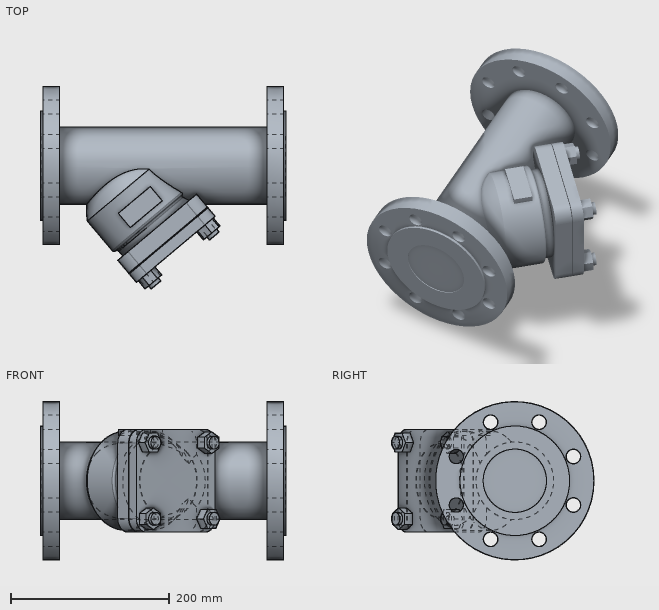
import cadquery as cq
import math

length = 310.0
pipe_radius = 49.0
flange_diameter = 200.0
flange_thickness = 21.0
raised_face_radius = 69.0
raised_face_height = 3.0
port_radius = 40.0
port_depth = 1.0
flange_hole_count = 8
flange_hole_diameter = 18.0
bolt_circle_radius = 80.0

branch_lean = 40.0
branch_offset = 55.8
body_radius = 62.5
dome_edge = -8.0
shoulder = 43.7
plate_start = 54.5
gasket_start = 76.0
cover_start = 77.0
cover_end = 91.0
dome_radius = 72.0
neck_radius = 56.7
gasket_radius = 47.0

plate_side = 130.0
plate_corner_radius = 17.0
bolt_spacing = 96.0
nut_width = 24.0
nut_height = 13.3
stud_diameter = 16.0
stud_tip = 5.0

pad_length = 52.7
pad_width = 23.5
pad_centre = 21.5
pad_top = 64.8

lean = math.radians(branch_lean)
across = cq.Vector(math.cos(lean), math.sin(lean), 0)
outward = cq.Vector(math.sin(lean), -math.cos(lean), 0)
branch_frame = cq.Plane(origin=across * -branch_offset, xDir=across, normal=outward)


def branch_plane(position):
    """Workplane square to the branch axis at a position along it."""
    return cq.Workplane(branch_frame).workplane(offset=position)


def make_run_pipe():
    return cq.Workplane("YZ").circle(pipe_radius).extrude(length / 2, both=True)


def make_flange():
    """Flange disc and raised face at the -X end."""
    flange_back = -length / 2 + raised_face_height + flange_thickness
    raised_face = (
        cq.Workplane("YZ", origin=(-length / 2, 0, 0))
        .circle(raised_face_radius)
        .extrude(raised_face_height)
    )
    return (
        cq.Workplane("YZ", origin=(flange_back, 0, 0))
        .circle(flange_diameter / 2)
        .extrude(-flange_thickness)
        .union(raised_face)
    )


def make_port_recess():
    return cq.Workplane("YZ", origin=(-length / 2, 0, 0)).circle(port_radius).extrude(port_depth)


def make_flange_holes():
    half_step = 180.0 / flange_hole_count
    return (
        cq.Workplane("YZ", origin=(-length / 2, 0, 0))
        .polarArray(bolt_circle_radius, half_step, 360, flange_hole_count)
        .circle(flange_hole_diameter / 2)
        .extrude(raised_face_height + flange_thickness)
    )


def make_branch_body():
    """Spherical dome, cylinder and neck, revolved about the branch axis."""
    dome_centre = dome_edge + math.sqrt(dome_radius**2 - body_radius**2)
    dome_tip = dome_centre - dome_radius
    mid_angle = math.asin(body_radius / dome_radius) / 2
    dome_mid = (
        dome_radius * math.sin(mid_angle),
        dome_centre - dome_radius * math.cos(mid_angle),
    )
    round_radius = (body_radius - neck_radius) / 2
    profile_plane = cq.Plane(
        origin=branch_frame.origin, xDir=across, normal=across.cross(outward)
    )
    return (
        cq.Workplane(profile_plane)
        .moveTo(0, dome_tip)
        .threePointArc(dome_mid, (body_radius, dome_edge))
        .lineTo(body_radius, shoulder - round_radius)
        .radiusArc((body_radius - round_radius, shoulder), -round_radius)
        .radiusArc((neck_radius, shoulder + round_radius), round_radius)
        .lineTo(neck_radius, plate_start)
        .lineTo(0, plate_start)
        .close()
        .revolve(360, (0, 0, 0), (0, 1, 0))
    )


def make_square_plate(start, end):
    return (
        branch_plane(start)
        .rect(plate_side, plate_side)
        .extrude(end - start)
        .edges(cq.selectors.ParallelDirSelector(outward))
        .fillet(plate_corner_radius)
    )


def make_gasket():
    return branch_plane(gasket_start).circle(gasket_radius).extrude(cover_start - gasket_start)


def make_nut(quarter_turns):
    """Hex nut and stud end at one cover corner; each corner is a quarter turn from the last."""
    across_corners = nut_width / math.cos(math.pi / 6)
    corner = bolt_spacing / 2
    nut = (
        branch_plane(cover_end)
        .center(corner, corner)
        .transformed(rotate=(0, 0, 90))
        .polygon(6, across_corners)
        .extrude(nut_height)
    )
    stud = (
        branch_plane(cover_end)
        .center(corner, corner)
        .circle(stud_diameter / 2)
        .extrude(nut_height + stud_tip)
    )
    axis_start = branch_frame.origin
    axis_end = axis_start + outward
    return nut.union(stud).rotate(axis_start.toTuple(), axis_end.toTuple(), 90 * quarter_turns)


def make_pad():
    pad_origin = branch_frame.origin + outward * pad_centre
    pad_plane = cq.Plane(origin=pad_origin, xDir=across, normal=(0, 0, 1))
    return cq.Workplane(pad_plane).rect(pad_length, pad_width).extrude(pad_top)


body = make_run_pipe()
flange = make_flange()
body = body.union(flange).union(flange.mirror("YZ"))
body = body.union(make_branch_body()).union(make_pad())
body = body.union(make_square_plate(plate_start, gasket_start))
body = body.union(make_gasket())
body = body.union(make_square_plate(cover_start, cover_end))
for corner_index in range(4):
    body = body.union(make_nut(corner_index))

end_cuts = make_port_recess().union(make_flange_holes())
result = body.cut(end_cuts).cut(end_cuts.mirror("YZ"))